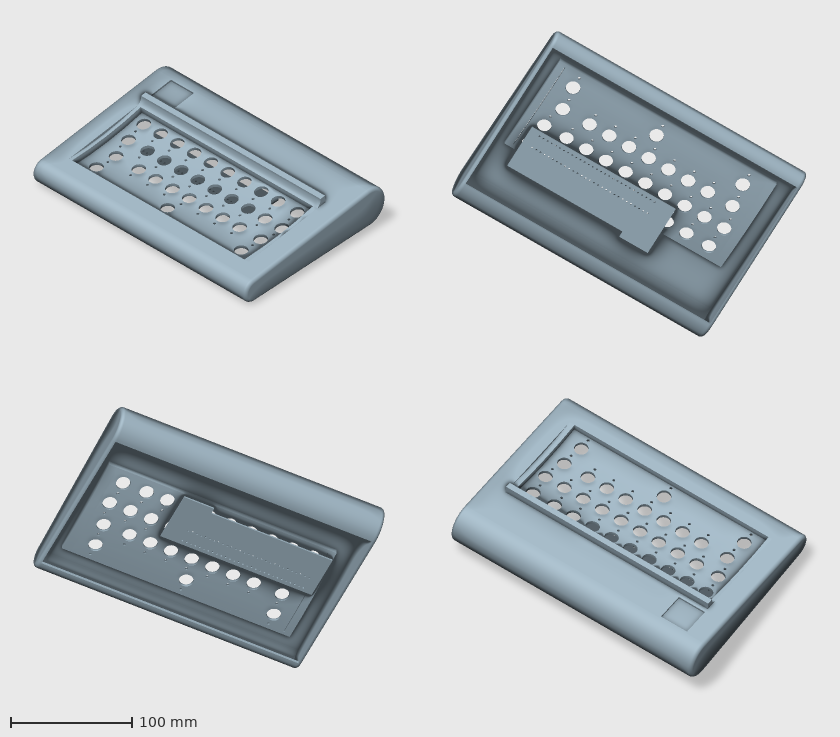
import cadquery as cq
import math

WIDTH = 242.0
DEPTH = 169.3
BACK_RADIUS = 18.6
FRONT_RADIUS = 11.1
WALL = 3.0
END_FILLET = 3.1

BACK_CENTER_Y = DEPTH / 2 - BACK_RADIUS
FRONT_CENTER_Y = FRONT_RADIUS - DEPTH / 2
LID_ANGLE = 2 * math.atan((BACK_RADIUS - FRONT_RADIUS) / (BACK_CENTER_Y - FRONT_CENTER_Y))
LID_NORMAL = (-math.sin(LID_ANGLE), math.cos(LID_ANGLE))

WINDOW_LEFT = -101.5
WINDOW_RIGHT = 101.5
WINDOW_BACK = 22.3
WINDOW_FRONT = -60.5
DISH_RADIUS = 338.7
OPENING_LEFT = -98.2
OPENING_RIGHT = 96.8

PLATE_DROP = 5.8
PLATE_THICKNESS = 3.0
PLATE_SIDE_GAP = 0.7
PLATE_TOP_RADIUS = DISH_RADIUS + PLATE_DROP
PLATE_BOTTOM_RADIUS = PLATE_TOP_RADIUS + PLATE_THICKNESS

KEY_HOLE_DIAMETER = 12.0
KEY_PITCH = 19.01
LED_HOLE_DIAMETER = 2.5
LED_OFFSET = 10.0
ROW_PITCH = 20.68
FIRST_ROW_Y = 14.5

RIDGE_BACK = 32.5
RIDGE_HEIGHT = 7.3
RIDGE_TOP_WIDTH = 5.3

BADGE_SIDE = 26.1
BADGE_FRONT = 36.3
BADGE_DEPTH = 1.7

BOARD_LEFT = -96.8
BOARD_RIGHT = 41.8
BOARD_FRONT = -5.3
BOARD_BACK = 34.0
BOARD_BOTTOM = 0.0
BOARD_THICKNESS = 1.7
BOARD_TAB_LEFT = 14.5
BOARD_TAB_BACK = 39.5
PIN_PITCH = 3.97
PIN_HOLE_DIAMETER = 1.6
PIN_ROWS_Y = (10.0, -1.5)
PIN_FIRST_X = -87.3
PIN_COUNT = 29


def lid_z(y):
    """Height of the lid plane at depth position y."""
    back_tangent_y = BACK_CENTER_Y + BACK_RADIUS * LID_NORMAL[0]
    back_tangent_z = BACK_RADIUS + BACK_RADIUS * LID_NORMAL[1]
    return back_tangent_z + (y - back_tangent_y) * math.tan(LID_ANGLE)


WINDOW_MID = (WINDOW_BACK + WINDOW_FRONT) / 2
HALF_CHORD = (WINDOW_BACK - WINDOW_FRONT) / 2 / math.cos(LID_ANGLE)
AXIS_RISE = math.sqrt(DISH_RADIUS**2 - HALF_CHORD**2)
AXIS_Y = WINDOW_MID + AXIS_RISE * LID_NORMAL[0]
AXIS_Z = lid_z(WINDOW_MID) + AXIS_RISE * LID_NORMAL[1]


def lid_frame(y):
    """Workplane across the part at lid point y: local x runs up the lid, local y along its normal."""
    return cq.Workplane(cq.Plane(
        origin=(0, y, lid_z(y)),
        xDir=(0, math.cos(LID_ANGLE), math.sin(LID_ANGLE)),
        normal=(1, 0, 0),
    ))


def case_profile(inset, half_width):
    """Prism of the case outline shrunk by inset, spanning -half_width to half_width along X."""
    back_r = BACK_RADIUS - inset
    front_r = FRONT_RADIUS - inset
    ny, nz = LID_NORMAL
    return (
        cq.Workplane("YZ", origin=(-half_width, 0, 0))
        .moveTo(FRONT_CENTER_Y, inset)
        .lineTo(BACK_CENTER_Y, inset)
        .threePointArc(
            (BACK_CENTER_Y + back_r, BACK_RADIUS),
            (BACK_CENTER_Y + back_r * ny, BACK_RADIUS + back_r * nz),
        )
        .lineTo(FRONT_CENTER_Y + front_r * ny, FRONT_RADIUS + front_r * nz)
        .threePointArc((FRONT_CENTER_Y - front_r, FRONT_RADIUS), (FRONT_CENTER_Y, inset))
        .close()
        .extrude(2 * half_width)
    )


def box(x0, x1, y0, y1, z0, z1):
    """Block between two corners."""
    return cq.Workplane("XY").box(x1 - x0, y1 - y0, z1 - z0, centered=False).translate((x0, y0, z0))


def dish_cylinder(radius, x0, x1):
    """Cylinder about the dish axis from x0 to x1."""
    return cq.Workplane("YZ", origin=(x0, AXIS_Y, AXIS_Z)).circle(radius).extrude(x1 - x0)


def window_column(x0, x1, margin=0.0):
    """Block through the lid, square to it, over the window's depth grown by margin at front and back."""
    return (
        lid_frame(WINDOW_MID)
        .rect(2 * (HALF_CHORD + margin), 2 * BACK_RADIUS)
        .extrude(x1 - x0)
        .translate((x0, 0, 0))
    )


def make_ridge():
    """Upright ridge whose front face sweeps down to the window edge in a concave arc."""
    root = -WALL / 2
    run = (RIDGE_BACK - WINDOW_BACK) / math.cos(LID_ANGLE) - RIDGE_TOP_WIDTH
    arc_angle = 2 * math.atan(run / RIDGE_HEIGHT)
    arc_radius = RIDGE_HEIGHT / math.sin(arc_angle)
    mid_run = arc_radius * (1 - math.cos(arc_angle / 2))
    mid_drop = arc_radius * math.sin(arc_angle / 2)
    return (
        lid_frame(RIDGE_BACK)
        .moveTo(0, root)
        .lineTo(0, RIDGE_HEIGHT)
        .lineTo(-RIDGE_TOP_WIDTH, RIDGE_HEIGHT)
        .threePointArc(
            (-RIDGE_TOP_WIDTH - mid_run, RIDGE_HEIGHT - mid_drop),
            (-RIDGE_TOP_WIDTH - run, 0),
        )
        .lineTo(-RIDGE_TOP_WIDTH - run, root)
        .close()
        .extrude(WINDOW_RIGHT - WINDOW_LEFT)
        .translate((WINDOW_LEFT, 0, 0))
    )


def make_badge_recess():
    """Shallow square pocket in the lid, in line with the window's left edge."""
    half_side = BADGE_SIDE / 2
    return (
        lid_frame(BADGE_FRONT)
        .rect(BADGE_SIDE, 2 * BADGE_DEPTH)
        .extrude(BADGE_SIDE)
        .translate((WINDOW_LEFT, half_side * math.cos(LID_ANGLE), half_side * math.sin(LID_ANGLE)))
    )


def make_case():
    """Hollow case, open below, with a collar that holds the key plate."""
    shell = case_profile(0, WIDTH / 2).faces("<X or >X").edges().fillet(END_FILLET)
    inner_half = WIDTH / 2 - WALL
    bottom_opening = box(
        -inner_half, inner_half, FRONT_CENTER_Y, BACK_CENTER_Y, -WALL, BACK_RADIUS / 2
    )
    cavity = case_profile(WALL, inner_half).union(bottom_opening)
    collar_left = WINDOW_LEFT - WALL
    collar_right = WINDOW_RIGHT + WALL
    collar = window_column(collar_left, collar_right, WALL).intersect(
        dish_cylinder(PLATE_BOTTOM_RADIUS, collar_left, collar_right)
    )
    recess = window_column(WINDOW_LEFT, WINDOW_RIGHT).intersect(
        dish_cylinder(DISH_RADIUS, WINDOW_LEFT, WINDOW_RIGHT)
    )
    body = shell.cut(cavity.cut(collar)).union(make_ridge())
    body = body.cut(recess).cut(window_column(OPENING_LEFT, OPENING_RIGHT))
    return body.cut(make_badge_recess())


def plate_hole(x, y, diameter):
    """Drill pointing away from the dish axis, through the plate point at (x, y)."""
    angle = math.asin((y - AXIS_Y) / PLATE_TOP_RADIUS)
    direction = cq.Vector(0, math.sin(angle), -math.cos(angle))
    start = cq.Vector(x, AXIS_Y, AXIS_Z) + direction * DISH_RADIUS
    length = 2 * PLATE_DROP + PLATE_THICKNESS
    return cq.Solid.makeCylinder(diameter / 2, length, start, direction)


def key_row(first, count, extra):
    """X places of count evenly spaced keys, followed by the keys that stand off the pitch."""
    return [first + KEY_PITCH * i for i in range(count)] + extra


KEY_ROWS = (
    key_row(-87.5, 9, [86.0]),
    key_row(-63.9, 9, [-85.5]),
    key_row(-54.2, 7, [-80.0, 83.7]),
    [-82.7, -2.2, 81.0],
)


def make_key_plate():
    """Curved plate with a key hole and a lamp hole at every key."""
    left = OPENING_LEFT + PLATE_SIDE_GAP
    sheet = dish_cylinder(PLATE_BOTTOM_RADIUS, left, OPENING_RIGHT).cut(
        dish_cylinder(PLATE_TOP_RADIUS, left, OPENING_RIGHT)
    )
    plate = sheet.intersect(window_column(left, OPENING_RIGHT))
    for row, columns in enumerate(KEY_ROWS):
        y = FIRST_ROW_Y - row * ROW_PITCH
        for x in columns:
            plate = plate.cut(plate_hole(x, y, KEY_HOLE_DIAMETER))
            plate = plate.cut(plate_hole(x, y - LED_OFFSET, LED_HOLE_DIAMETER))
    return plate


def make_board():
    """Flat board with a tab at its back and two rows of pin holes."""
    top = BOARD_BOTTOM + BOARD_THICKNESS
    main = box(BOARD_LEFT, BOARD_RIGHT, BOARD_FRONT, BOARD_BACK, BOARD_BOTTOM, top)
    tab = box(BOARD_TAB_LEFT, BOARD_RIGHT, BOARD_FRONT, BOARD_TAB_BACK, BOARD_BOTTOM, top)
    pins = [(PIN_FIRST_X + PIN_PITCH * i, y) for y in PIN_ROWS_Y for i in range(PIN_COUNT)]
    pin_holes = (
        cq.Workplane("XY", origin=(0, 0, BOARD_BOTTOM))
        .pushPoints(pins)
        .circle(PIN_HOLE_DIAMETER / 2)
        .extrude(BOARD_THICKNESS)
    )
    return main.union(tab).cut(pin_holes)


case = make_case()
key_plate = make_key_plate()
board = make_board()
result = cq.Compound.makeCompound([case.val(), key_plate.val(), board.val()])